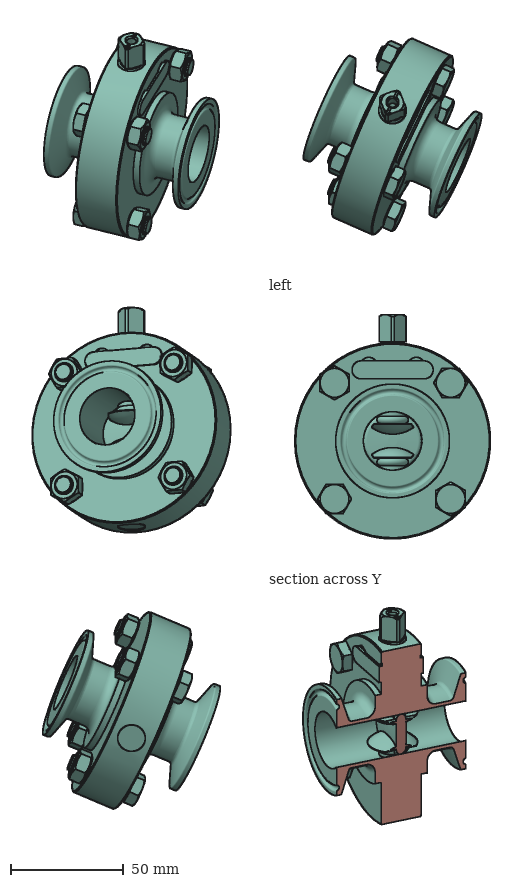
import cadquery as cq
import math


arc_middle_angle = math.radians(45)

match_tolerance = 0.01

body_radius = 43.5
body_half_width = 9.95
body_chamfer = 0.5
bore_radius = 26.0 / 2
tube_radius = 29.0 / 2
hub_radius = 23.5
hub_face_x = 12.9
hub_fillet = 4.0

overall_length = 64.0
ferrule_face_x = overall_length / 2
ferrule_radius = 25.3
ferrule_rim_width = 2.6
ferrule_edge_fillet = 0.8
ferrule_slope = math.radians(20)
ferrule_root_fillet = 1.7
groove_outer_radius = 22.9
groove_inner_radius = 20.5
groove_depth = 1.3
groove_edge_fillet = 0.6

plate_length = 36.0
plate_width = 8.0
plate_height = 1.0
plate_z = 31.5
recess_diameter = 7.4
recess_depth = 0.5
recess_y = 10.5
recess_z = 33.4

bolt_offset = 25.8
hex_across_flats = 13.0
hex_half_corner_angle = 30
hex_across_corners = hex_across_flats / math.cos(math.radians(hex_half_corner_angle))
washer_face_diameter = 11.4
washer_face_height = 0.5
head_end_x = 15.3
nut_end_x = 16.6
hex_chamfer_diameter = 12.8
nut_end_diameter = 12.2
hex_chamfer_angle = math.radians(30)
collar_diameter = 8.5
collar_end_x = 17.3
bolt_tip_diameter = 7.2
bolt_tip_x = 18.2

stem_radius = 12.2 / 2
stem_neck_radius = 10.0 / 2
stem_shoulder_z = 42.4
stem_shoulder_top_z = 43.5
trunnion_end_z = 42.8
square_bottom_z = 44.0
stem_top_z = 56.0
square_across_flats = 9.5
square_turn_angle = 45
square_corner_radius = 12.0 / 2
stem_top_radius = 5.0
stem_top_chamfer = 0.85
stem_hole_radius = 2.1
stem_hole_depth = 9.0
stem_hole_mouth_radius = 5.7 / 2
drill_tip_half_angle = math.radians(59)
stem_slot_width = 1.0
stem_slot_depth = 0.5

disc_centre_half_width = 3.0
disc_centre_radius = 2.1
disc_rim_half_width = 2.5
disc_face_radius = 11.1
disc_edge_half_width = 0.8
disc_bowl_radius = 15.6
disc_bowl_bottom_z = 2.7
disc_collar_radius = 7.4
disc_collar_bottom_z = 7.7
disc_collar_top_z = 10.9


def cylinder_x(radius, start_x, end_x):
    return cq.Workplane("YZ").workplane(offset=start_x).circle(radius).extrude(end_x - start_x)


def cylinder_z(radius, start_z, end_z):
    return cq.Workplane("XY").workplane(offset=start_z).circle(radius).extrude(end_z - start_z)


def on_both_sides(shape, plane):
    return shape.union(shape.mirror(plane))


def make_body_ring():
    return cylinder_x(body_radius, -body_half_width, body_half_width).edges().chamfer(body_chamfer)


def make_pipe_end():
    """Hub, tube and clamp ferrule on the +X side."""
    slope_start_x = ferrule_face_x - ferrule_rim_width
    slope_end_x = slope_start_x - (ferrule_radius - tube_radius) * math.tan(ferrule_slope)
    fillet_start_x = hub_face_x + hub_fillet
    fillet_middle = hub_fillet * (1 - math.cos(arc_middle_angle))
    pipe_end = (
        cq.Workplane("XY")
        .moveTo(0, 0)
        .lineTo(0, hub_radius)
        .lineTo(hub_face_x, hub_radius)
        .lineTo(hub_face_x, tube_radius + hub_fillet)
        .threePointArc(
            (hub_face_x + fillet_middle, tube_radius + fillet_middle),
            (fillet_start_x, tube_radius),
        )
        .lineTo(slope_end_x, tube_radius)
        .lineTo(slope_start_x, ferrule_radius)
        .lineTo(ferrule_face_x, ferrule_radius)
        .lineTo(ferrule_face_x, 0)
        .close()
        .revolve(360, (0, 0, 0), (1, 0, 0))
    )
    pipe_end = round_ring_edges(pipe_end, slope_end_x, [tube_radius], ferrule_root_fillet)
    pipe_end = round_ring_edges(pipe_end, slope_start_x, [ferrule_radius], ferrule_edge_fillet)
    return cut_gasket_groove(pipe_end)


def round_ring_edges(shape, x, radii, fillet):
    """Fillet the circular edges about the X axis that lie at x with one of the given radii."""
    def is_wanted(edge):
        on_station = edge.geomType() == "CIRCLE" and abs(edge.Center().x - x) < match_tolerance
        return on_station and any(abs(edge.radius() - radius) < match_tolerance for radius in radii)

    return shape.edges().filter(is_wanted).fillet(fillet)


def cut_gasket_groove(pipe_end):
    groove = (
        cq.Workplane("XY")
        .moveTo(ferrule_face_x, groove_inner_radius)
        .threePointArc(
            (ferrule_face_x - groove_depth, (groove_inner_radius + groove_outer_radius) / 2),
            (ferrule_face_x, groove_outer_radius),
        )
        .close()
        .revolve(360, (0, 0, 0), (1, 0, 0))
    )
    groove_radii = [groove_inner_radius, groove_outer_radius]
    return round_ring_edges(pipe_end.cut(groove), ferrule_face_x, groove_radii, groove_edge_fillet)


def make_recesses():
    return (
        cq.Workplane("YZ")
        .workplane(offset=body_half_width - recess_depth)
        .pushPoints([(-recess_y, recess_z), (recess_y, recess_z)])
        .circle(recess_diameter / 2)
        .extrude(recess_depth)
    )


def make_name_plate():
    plate_depth = recess_depth + plate_height
    return (
        cq.Workplane("YZ")
        .workplane(offset=body_half_width - recess_depth)
        .center(0, plate_z)
        .slot2D(plate_length, plate_width)
        .extrude(plate_depth)
    )


def make_hexagon(end_x, end_diameter, angle):
    """Hexagon along +X standing on its washer face, its outer corners cut by a cone."""
    start_x = body_half_width + washer_face_height
    hexagon = (
        cq.Workplane("YZ")
        .workplane(offset=start_x)
        .polygon(6, hex_across_corners)
        .extrude(end_x - start_x)
    )
    corner_limit = chamfer_hex_end(cylinder_x(hex_across_corners / 2, start_x, end_x), ">X", end_diameter)
    washer_face = cylinder_x(washer_face_diameter / 2, body_half_width, start_x)
    return hexagon.intersect(corner_limit).union(washer_face).rotate((0, 0, 0), (1, 0, 0), angle)


def chamfer_hex_end(cylinder, face, end_diameter):
    width = (hex_across_corners - end_diameter) / 2
    return cylinder.faces(face).chamfer(width * math.tan(hex_chamfer_angle), width)


def make_bolt_head(angle):
    return make_hexagon(head_end_x, hex_chamfer_diameter, angle).mirror("YZ")


def make_nut(angle):
    """Nut chamfered at both ends, with the bolt tip standing out of it."""
    inner_end_limit = cylinder_x(hex_across_corners / 2, body_half_width + washer_face_height, nut_end_x)
    inner_end_limit = chamfer_hex_end(inner_end_limit, "<X", hex_chamfer_diameter)
    inner_end_limit = inner_end_limit.union(
        cylinder_x(washer_face_diameter / 2, body_half_width, nut_end_x)
    )
    nut = make_hexagon(nut_end_x, nut_end_diameter, angle).intersect(inner_end_limit)
    nut = nut.union(cylinder_x(collar_diameter / 2, nut_end_x, collar_end_x))
    return nut.union(cylinder_x(bolt_tip_diameter / 2, collar_end_x, bolt_tip_x))


def make_housing():
    housing = make_body_ring().union(on_both_sides(make_pipe_end(), "YZ"))
    housing = housing.cut(on_both_sides(make_recesses(), "YZ"))
    housing = housing.union(on_both_sides(make_name_plate(), "YZ"))
    for y_side in (-1, 1):
        for z_side in (-1, 1):
            angle = hex_half_corner_angle if y_side == z_side else 0
            place = (0, y_side * bolt_offset, z_side * bolt_offset)
            housing = housing.union(make_bolt_head(angle).translate(place))
            housing = housing.union(make_nut(angle).translate(place))
    housing = housing.cut(cylinder_x(bore_radius, -ferrule_face_x, ferrule_face_x))
    housing = housing.cut(cylinder_z(stem_radius, -body_radius, body_radius))
    return housing.solids()


def make_disc_plate():
    """Shallow double cone with a rounded edge that seals against the bore."""
    edge_width = disc_rim_half_width - disc_edge_half_width
    edge_bulge_x = disc_edge_half_width + math.sin(arc_middle_angle) * edge_width
    edge_bulge_radius = disc_face_radius + math.sin(arc_middle_angle) * (bore_radius - disc_face_radius)
    half_plate = (
        cq.Workplane("XY")
        .moveTo(0, 0)
        .lineTo(disc_centre_half_width, 0)
        .lineTo(disc_centre_half_width, disc_centre_radius)
        .lineTo(disc_rim_half_width, disc_face_radius)
        .threePointArc((edge_bulge_x, edge_bulge_radius), (disc_edge_half_width, bore_radius))
        .lineTo(0, bore_radius)
        .close()
        .revolve(360, (0, 0, 0), (1, 0, 0))
    )
    return on_both_sides(half_plate, "YZ")


def make_disc_hub():
    """Bowl-shaped flare and rounded collar around the stem, above the disc centre."""
    collar_middle_z = (disc_collar_bottom_z + disc_collar_top_z) / 2
    bowl = (
        cq.Workplane("XY")
        .sphere(disc_bowl_radius)
        .translate((0, 0, disc_bowl_bottom_z + disc_bowl_radius))
    )
    flare = cylinder_x(disc_face_radius, -disc_face_radius, disc_face_radius)
    flare = flare.intersect(bowl).intersect(cylinder_z(disc_face_radius, 0, disc_collar_bottom_z))
    collar = (
        cq.Workplane("XZ")
        .moveTo(0, disc_collar_bottom_z)
        .lineTo(stem_radius, disc_collar_bottom_z)
        .threePointArc((disc_collar_radius, collar_middle_z), (stem_radius, disc_collar_top_z))
        .lineTo(0, disc_collar_top_z)
        .close()
        .revolve(360, (0, 0, 0), (0, 1, 0))
    )
    return flare.union(collar)


def make_stem_square():
    height = stem_top_z - square_bottom_z
    square = (
        cq.Workplane("XY")
        .workplane(offset=square_bottom_z)
        .rect(square_across_flats, square_across_flats)
        .extrude(height)
        .rotate((0, 0, 0), (0, 0, 1), square_turn_angle)
    )
    corner_limit = cylinder_z(square_corner_radius, square_bottom_z, stem_top_z)
    corner_limit = corner_limit.faces(">Z").chamfer(
        stem_top_chamfer, square_corner_radius - stem_top_radius
    )
    return square.intersect(corner_limit)


def make_stem_hole():
    """Drilled hole with a countersunk mouth and a conical tip."""
    mouth_depth = stem_hole_mouth_radius - stem_hole_radius
    tip_length = stem_hole_radius / math.tan(drill_tip_half_angle)
    return (
        cq.Workplane("XZ")
        .moveTo(0, stem_top_z)
        .lineTo(stem_hole_mouth_radius, stem_top_z)
        .lineTo(stem_hole_radius, stem_top_z - mouth_depth)
        .lineTo(stem_hole_radius, stem_top_z - stem_hole_depth)
        .lineTo(0, stem_top_z - stem_hole_depth - tip_length)
        .close()
        .revolve(360, (0, 0, 0), (0, 1, 0))
    )


def make_stem():
    shaft = (
        cq.Workplane("XZ")
        .moveTo(0, disc_collar_bottom_z)
        .lineTo(stem_radius, disc_collar_bottom_z)
        .lineTo(stem_radius, stem_shoulder_z)
        .lineTo(stem_neck_radius, stem_shoulder_top_z)
        .lineTo(stem_neck_radius, square_bottom_z)
        .lineTo(0, square_bottom_z)
        .close()
        .revolve(360, (0, 0, 0), (0, 1, 0))
    )
    slot = cq.Workplane("XY").workplane(offset=stem_top_z - stem_slot_depth)
    slot = slot.rect(stem_slot_width, 2 * square_corner_radius).extrude(stem_slot_depth)
    return shaft.union(make_stem_square()).cut(make_stem_hole()).cut(slot)


def make_disc_with_stem():
    lower_trunnion = cylinder_z(stem_radius, -trunnion_end_z, -disc_collar_bottom_z)
    disc = make_disc_plate().union(on_both_sides(make_disc_hub(), "XY"))
    return disc.union(lower_trunnion).union(make_stem()).solids()


housing = make_housing()
disc_with_stem = make_disc_with_stem()

result = cq.Compound.makeCompound([housing.val(), disc_with_stem.val()])